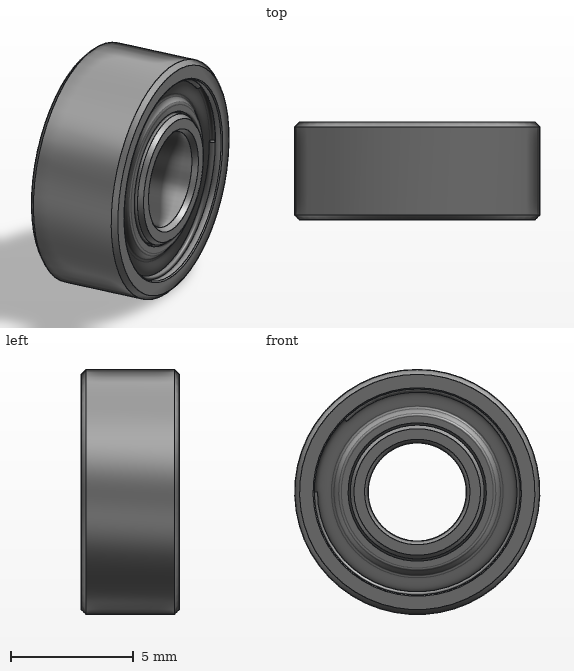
import cadquery as cq
import math


width = 4.0
outer_radius = 5.0
bore_radius = 2.0
outer_chamfer = 0.2
bore_chamfer_radial = 0.15
bore_chamfer_axial = 0.22
front_y = -width / 2

land_radius = 2.73
land_chamfer_radial = 0.15
land_chamfer_axial = 0.2

gap_width = 0.09
gap_depth = 0.6
shield_inner_radius = land_radius + gap_width

rim_setback = 0.3
rim_y = front_y + rim_setback
rim_outer_radius = 3.1
cone_rise = 0.19
cone_angle = math.radians(45)
bend_radius = 0.15
bend_run = bend_radius * math.sin(cone_angle)
bend_drop = bend_radius * (1 - math.cos(cone_angle))
cone_run = cone_rise / math.tan(cone_angle)
cone_top = (rim_y + bend_drop, rim_outer_radius + bend_run)
cone_foot = (cone_top[0] + cone_rise, cone_top[1] + cone_run)
shield_y = cone_foot[0] + bend_drop
flat_inner_radius = cone_foot[1] + bend_run

recess_radius = 4.2
recess_chamfer = 0.05

wire_radius = 0.13
wire_y = shield_y - wire_radius
wire_sweep = 315
wire_start_angle = 45


def revolve_about_y(profile):
    return profile.revolve(360, (0, 0, 0), (1, 0, 0))


def make_blank_ring():
    """Plain ring with chamfered outer and bore edges."""
    back_y = -front_y
    profile = (
        cq.Workplane("YZ")
        .moveTo(front_y, bore_radius + bore_chamfer_radial)
        .lineTo(front_y, outer_radius - outer_chamfer)
        .lineTo(front_y + outer_chamfer, outer_radius)
        .lineTo(back_y - outer_chamfer, outer_radius)
        .lineTo(back_y, outer_radius - outer_chamfer)
        .lineTo(back_y, bore_radius + bore_chamfer_radial)
        .lineTo(back_y - bore_chamfer_axial, bore_radius)
        .lineTo(front_y + bore_chamfer_axial, bore_radius)
        .close()
    )
    return revolve_about_y(profile)


def make_face_recess():
    """Material removed from the -Y face to leave the shield, gap and wire groove."""
    profile = (
        cq.Workplane("YZ")
        .moveTo(front_y, recess_radius + recess_chamfer)
        .lineTo(front_y + recess_chamfer, recess_radius)
        .lineTo(wire_y - wire_radius, recess_radius)
        .threePointArc((wire_y, recess_radius + wire_radius), (shield_y, recess_radius))
        .lineTo(shield_y, flat_inner_radius)
        .tangentArcPoint(cone_foot, relative=False)
        .lineTo(*cone_top)
        .tangentArcPoint((rim_y, rim_outer_radius), relative=False)
        .lineTo(rim_y, shield_inner_radius)
        .lineTo(front_y + gap_depth, shield_inner_radius)
        .lineTo(front_y + gap_depth, land_radius)
        .lineTo(front_y + land_chamfer_axial, land_radius)
        .lineTo(front_y, land_radius - land_chamfer_radial)
        .close()
    )
    return revolve_about_y(profile)


def make_front_wire():
    """Open retaining wire ring on the -Y side."""
    section = cq.Workplane("YZ").center(wire_y, recess_radius).circle(wire_radius)
    wire = section.revolve(wire_sweep, (-wire_y, -recess_radius, 0), (1 - wire_y, -recess_radius, 0))
    return wire.rotate((0, 0, 0), (0, 1, 0), -wire_start_angle)


face_recess = make_face_recess()
bearing = make_blank_ring().cut(face_recess).cut(face_recess.mirror("XZ"))

front_wire = make_front_wire()
retaining_wires = [front_wire, front_wire.mirror("XZ")]

result = cq.Compound.makeCompound([bearing.val(), *[wire.val() for wire in retaining_wires]])